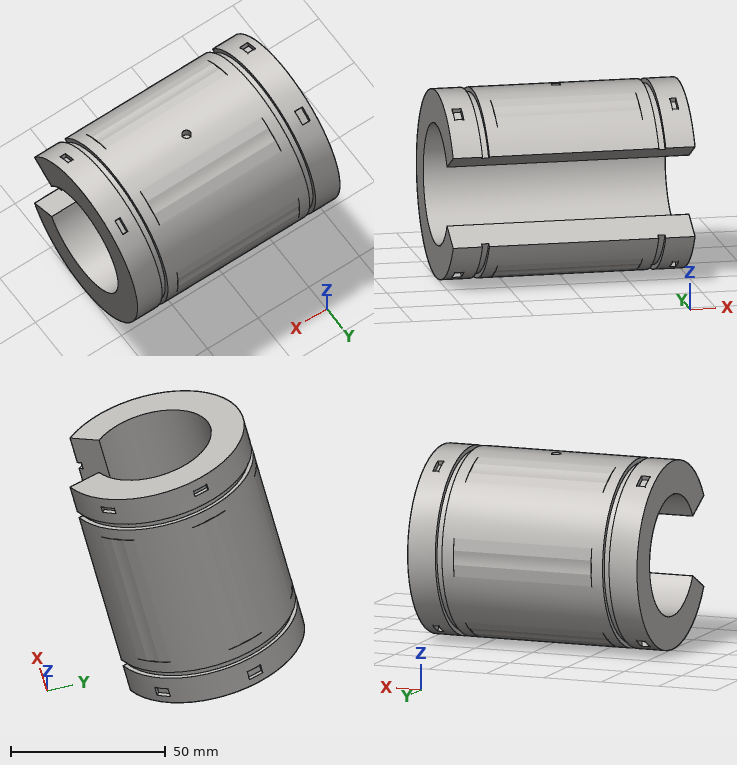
import cadquery as cq
import math

LENGTH = 80.0
OUTER_RADIUS = 31.0
BORE_RADIUS = 20.0

OPENING_OUTER_WIDTH = 29.9
OPENING_BORE_WIDTH = 19.6

RING_GROOVE_WIDTH = 2.3
RING_GROOVE_SPAN = 60.6
RING_GROOVE_DEPTH = 1.5

PAD_ANGLES = (-150.0, -30.0, 30.0, 90.0, 150.0)
PAD_LENGTH = 48.0
PAD_HALF_ANGLE = 11.65
FLUTE_WIDTH = 4.7
FLUTE_RADIUS = 12.5

POCKET_MID_ANGLE = 30.0
POCKET_HALF_ANGLE = 4.7
POCKET_WALL_ANGLE = 22.0
POCKET_DEPTH = 1.5
POCKET_SPANS = ((2.5, 5.5), (74.5, 76.5))

HOLE_DIAMETER = 3.0
HOLE_DEPTH = 3.0
HOLE_Y = 1.5

CLEARANCE = 2.0


def polar(radius, angle):
    """(Y, Z) of a point at an angle measured from +Z towards +Y."""
    a = math.radians(angle)
    return (radius * math.sin(a), radius * math.cos(a))


def shifted(point, distance, angle):
    """(Y, Z) of a point moved a distance in the direction of an angle."""
    step = polar(distance, angle)
    return (point[0] + step[0], point[1] + step[1])


def section_plane(x):
    """Cross-section workplane at X, drawn in (Y, Z)."""
    return cq.Workplane("YZ", origin=(x, 0, 0))


def tube(outer_radius, inner_radius, start, length):
    return section_plane(start).circle(outer_radius).circle(inner_radius).extrude(length)


def opening():
    outer_half = OPENING_OUTER_WIDTH / 2
    bore_half = OPENING_BORE_WIDTH / 2
    outer_y = -math.sqrt(OUTER_RADIUS**2 - outer_half**2)
    bore_y = -math.sqrt(BORE_RADIUS**2 - bore_half**2)
    slope = (outer_half - bore_half) / (bore_y - outer_y)
    far_y = -(OUTER_RADIUS + CLEARANCE)
    far_half = bore_half + slope * (bore_y - far_y)
    return (
        section_plane(0)
        .polyline(
            [
                (0, bore_half),
                (bore_y, bore_half),
                (far_y, far_half),
                (far_y, -far_half),
                (bore_y, -bore_half),
                (0, -bore_half),
            ]
        )
        .close()
        .extrude(LENGTH)
    )


def ring_grooves():
    first = (LENGTH - RING_GROOVE_SPAN) / 2
    last = LENGTH - first - RING_GROOVE_WIDTH
    outer_radius = OUTER_RADIUS + CLEARANCE
    floor_radius = OUTER_RADIUS - RING_GROOVE_DEPTH
    return [tube(outer_radius, floor_radius, start, RING_GROOVE_WIDTH) for start in (first, last)]


def pad_cut(angle):
    """Material removed to leave the two flat strips and the flute of one pad."""
    flute_half_angle = math.degrees(math.asin(FLUTE_WIDTH / 2 / OUTER_RADIUS))
    edge_height = OUTER_RADIUS * math.cos(math.radians(flute_half_angle))
    flute_depth = FLUTE_RADIUS - math.sqrt(FLUTE_RADIUS**2 - (FLUTE_WIDTH / 2) ** 2)
    far_radius = OUTER_RADIUS + CLEARANCE
    return (
        section_plane((LENGTH - PAD_LENGTH) / 2)
        .moveTo(*polar(far_radius, angle - PAD_HALF_ANGLE))
        .lineTo(*polar(OUTER_RADIUS, angle - PAD_HALF_ANGLE))
        .lineTo(*polar(OUTER_RADIUS, angle - flute_half_angle))
        .threePointArc(
            polar(edge_height - flute_depth, angle),
            polar(OUTER_RADIUS, angle + flute_half_angle),
        )
        .lineTo(*polar(OUTER_RADIUS, angle + PAD_HALF_ANGLE))
        .lineTo(*polar(far_radius, angle + PAD_HALF_ANGLE))
        .close()
        .extrude(PAD_LENGTH)
    )


def pocket(start, end):
    """Pocket on the +Y, +Z quarter of the sleeve."""
    upper_rim = polar(OUTER_RADIUS, POCKET_MID_ANGLE - POCKET_HALF_ANGLE)
    lower_rim = polar(OUTER_RADIUS, POCKET_MID_ANGLE + POCKET_HALF_ANGLE)
    wall_length = POCKET_DEPTH / math.cos(math.radians(POCKET_MID_ANGLE - POCKET_WALL_ANGLE))
    return (
        section_plane(start)
        .polyline(
            [
                shifted(upper_rim, -wall_length, POCKET_WALL_ANGLE),
                shifted(upper_rim, CLEARANCE, POCKET_WALL_ANGLE),
                shifted(lower_rim, CLEARANCE, POCKET_WALL_ANGLE),
                shifted(lower_rim, -wall_length, POCKET_WALL_ANGLE),
            ]
        )
        .close()
        .extrude(end - start)
    )


def lubrication_hole():
    return (
        cq.Workplane("XY", origin=(LENGTH / 2, HOLE_Y, OUTER_RADIUS - HOLE_DEPTH))
        .circle(HOLE_DIAMETER / 2)
        .extrude(HOLE_DEPTH + CLEARANCE)
    )


sleeve = tube(OUTER_RADIUS, BORE_RADIUS, 0, LENGTH).cut(opening())

for groove in ring_grooves():
    sleeve = sleeve.cut(groove)

for pad_angle in PAD_ANGLES:
    sleeve = sleeve.cut(pad_cut(pad_angle))

for pocket_start, pocket_end in POCKET_SPANS:
    top_back = pocket(pocket_start, pocket_end)
    top_front = top_back.mirror("XZ")
    for tool in (top_back, top_front, top_back.mirror("XY"), top_front.mirror("XY")):
        sleeve = sleeve.cut(tool)

result = sleeve.cut(lubrication_hole())